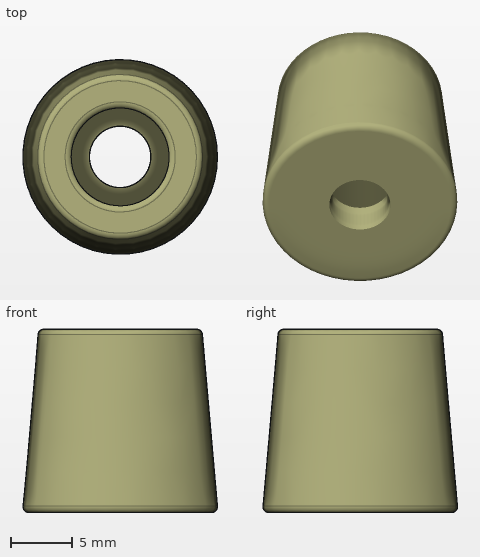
import cadquery as cq
import math

height = 15.0
base_radius = 8.0
draft_angle = 5.0
edge_fillet = 0.5

bolt_hole_diameter = 5.0
counterbore_diameter = 8.0
floor_thickness = 3.0

top_radius = base_radius - height * math.tan(math.radians(draft_angle))
counterbore_depth = height - floor_thickness


def tapered_body():
    """Solid cone frustum standing on the XY plane, with both rims rounded."""
    half_section = (
        cq.Workplane("XZ")
        .moveTo(0, 0)
        .lineTo(base_radius, 0)
        .lineTo(top_radius, height)
        .lineTo(0, height)
        .close()
    )
    frustum = half_section.revolve(360, (0, 0, 0), (0, 1, 0))
    return frustum.faces("<Z or >Z").edges().fillet(edge_fillet)


def add_stepped_hole(body):
    """Through hole with a deep counterbore from the top."""
    return body.faces(">Z").workplane(origin=(0, 0, height)).cboreHole(
        bolt_hole_diameter, counterbore_diameter, counterbore_depth
    )


def round_counterbore_mouth(body):
    """Round the inner edge of the top face."""
    return body.faces(">Z").edges(cq.selectors.RadiusNthSelector(0)).fillet(edge_fillet)


result = round_counterbore_mouth(add_stepped_hole(tapered_body()))